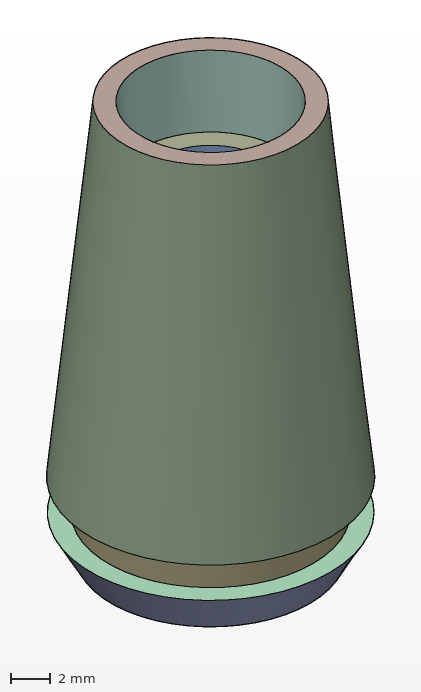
import cadquery as cq

height = 27.0
max_diameter = 16.5
max_radius = max_diameter / 2

nose_bottom_radius = 6.8
nose_top_radius = 8.2
nose_height = 2.48
groove_radius = 7.02
groove_width = 2.13
taper_start = nose_height + groove_width

top_radius = 5.9

bore_radius = 3.5
counterbore_radius = 4.75
counterbore_depth = 4.9
counterbore_floor = height - counterbore_depth

half_section = [
    (bore_radius, 0),
    (nose_bottom_radius, 0),
    (nose_top_radius, nose_height),
    (groove_radius, nose_height),
    (groove_radius, taper_start),
    (max_radius, taper_start),
    (top_radius, height),
    (counterbore_radius, height),
    (counterbore_radius, counterbore_floor),
    (bore_radius, counterbore_floor),
]

result = (
    cq.Workplane("XZ")
    .polyline(half_section)
    .close()
    .revolve(360, (0, 0, 0), (0, 1, 0))
)